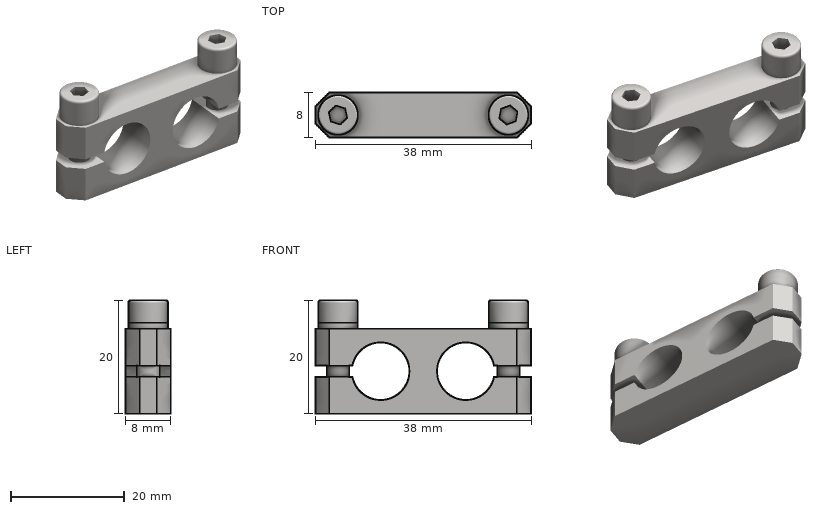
import cadquery as cq

BLOCK_LENGTH = 38.0
BLOCK_WIDTH = 8.0
BLOCK_HEIGHT = 15.0
CORNER_CHAMFER = 2.5

BORE_DIAMETER = 10.1
BORE_SPACING = 15.0
BORE_HEIGHT = BLOCK_HEIGHT / 2
SLIT_HEIGHT = 2.0

WASHER_THICKNESS = 1.0

SCREW_SPACING = 30.0
SHANK_DIAMETER = 4.0
SHANK_LENGTH = BLOCK_HEIGHT + WASHER_THICKNESS
HEAD_DIAMETER = 7.0
HEAD_HEIGHT = 4.0
HEAD_FILLET = 0.45
SOCKET_ACROSS_CORNERS = 3.4
SOCKET_DEPTH = 2.5

WASHER_DIAMETER = HEAD_DIAMETER

SCREW_PLACES = [
    (-SCREW_SPACING / 2, 43.0),
    (SCREW_SPACING / 2, 20.0),
]


def make_clamp():
    """Block with two split bores and a hole for each screw."""
    block = (
        cq.Workplane("XY")
        .box(BLOCK_LENGTH, BLOCK_WIDTH, BLOCK_HEIGHT, centered=(True, True, False))
        .edges("|Z")
        .chamfer(CORNER_CHAMFER)
    )

    slit_length = (BLOCK_LENGTH - BORE_SPACING) / 2
    for side in (-1, 1):
        bore_x = side * BORE_SPACING / 2
        bore = (
            cq.Workplane("XZ")
            .center(bore_x, BORE_HEIGHT)
            .circle(BORE_DIAMETER / 2)
            .extrude(BLOCK_WIDTH / 2, both=True)
        )
        slit = (
            cq.Workplane("XY")
            .box(slit_length, BLOCK_WIDTH, SLIT_HEIGHT)
            .translate((bore_x + side * slit_length / 2, 0, BORE_HEIGHT))
        )
        block = block.cut(bore).cut(slit)

    screw_holes = (
        cq.Workplane("XY")
        .pushPoints([(x, 0) for x, _ in SCREW_PLACES])
        .circle(SHANK_DIAMETER / 2)
        .extrude(BLOCK_HEIGHT)
    )
    return block.cut(screw_holes)


def make_washer(x):
    """Flat ring between the block and a screw head."""
    return (
        cq.Workplane("XY", origin=(x, 0, BLOCK_HEIGHT))
        .circle(WASHER_DIAMETER / 2)
        .circle(SHANK_DIAMETER / 2)
        .extrude(WASHER_THICKNESS)
    )


def make_screw(x, turn):
    """Cap screw with a rounded head edge and a hexagon socket."""
    head = (
        cq.Workplane("XY")
        .circle(HEAD_DIAMETER / 2)
        .extrude(HEAD_HEIGHT)
        .faces(">Z")
        .edges()
        .fillet(HEAD_FILLET)
    )
    shank = cq.Workplane("XY").circle(SHANK_DIAMETER / 2).extrude(-SHANK_LENGTH)
    socket = (
        cq.Workplane("XY", origin=(0, 0, HEAD_HEIGHT))
        .polygon(6, SOCKET_ACROSS_CORNERS)
        .extrude(-SOCKET_DEPTH)
    )
    screw = head.union(shank).cut(socket)
    head_seat = BLOCK_HEIGHT + WASHER_THICKNESS
    return screw.rotate((0, 0, 0), (0, 0, 1), turn).translate((x, 0, head_seat))


clamp = make_clamp()
washers = [make_washer(x) for x, _ in SCREW_PLACES]
screws = [make_screw(x, turn) for x, turn in SCREW_PLACES]

result = cq.Compound.makeCompound([body.val() for body in [clamp, *washers, *screws]])